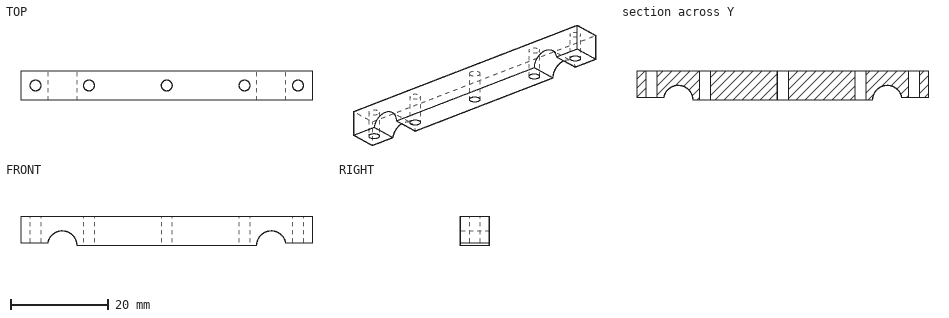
import cadquery as cq

length = 60.0
width = 6.0
height = 6.0

groove_diameter = 6.0
groove_spacing = 43.0

clamp_gap = 0.5

hole_diameter = 2.2
outer_hole_spacing = 54.0
inner_hole_spacing = 32.0


def make_bar():
    return cq.Workplane("XY").box(length, width, height, centered=(True, True, False))


def make_end_relief(side):
    """Shallow block from a groove axis to the bar end; side is -1 or 1."""
    groove_x = groove_spacing / 2
    relief_length = length / 2 - groove_x
    return (
        cq.Workplane("XY")
        .center(side * (groove_x + relief_length / 2), 0)
        .box(relief_length, width, clamp_gap, centered=(True, True, False))
    )


def make_rod(side):
    """Cylinder along Y that cuts one rod groove; side is -1 or 1."""
    return (
        cq.Workplane("XZ")
        .center(side * groove_spacing / 2, 0)
        .circle(groove_diameter / 2)
        .extrude(width / 2, both=True)
    )


def make_screw_holes():
    hole_positions = [(0, 0)]
    for spacing in (inner_hole_spacing, outer_hole_spacing):
        hole_positions += [(-spacing / 2, 0), (spacing / 2, 0)]
    return (
        cq.Workplane("XY")
        .pushPoints(hole_positions)
        .circle(hole_diameter / 2)
        .extrude(height)
    )


result = make_bar()
for side in (-1, 1):
    result = result.cut(make_end_relief(side)).cut(make_rod(side))
result = result.cut(make_screw_holes())